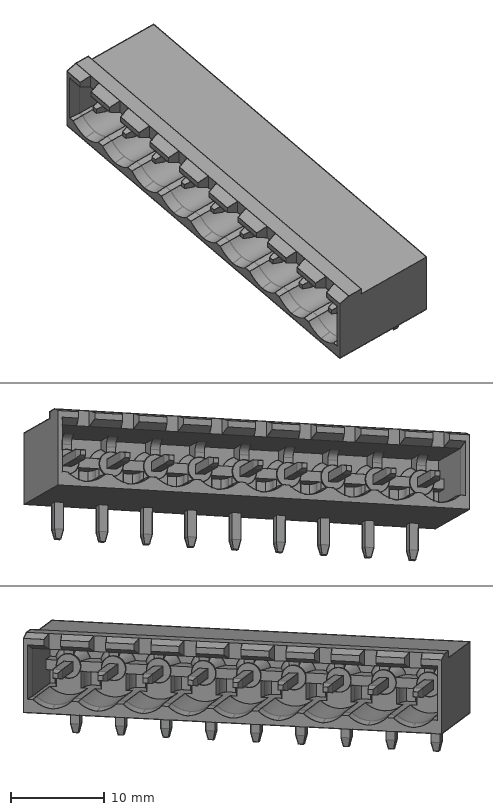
import cadquery as cq
import math

LENGTH = 46.4
DEPTH = 12.0
POLES = 9
END_MARGIN = 3.2
PITCH = (LENGTH - 2 * END_MARGIN) / (POLES - 1)

ROOF_Z = 7.8
RAIL_Z = 8.55
RAIL_DEPTH = 2.95
LEAD_IN = 1.25
FRONT_EDGE_Z = 8.1

WALL_FRONT = 0.45
WALL = 0.65
FLOOR_FRONT_Z = 1.5
FLOOR_Z = 1.6
CEILING_FRONT_Z = 7.42
CEILING_Z = 6.8
CAVITY_DEPTH = 8.8

SCALLOP_R = 3.15
SCALLOP_MOUTH_R = 3.53
SCALLOP_MOUTH_Z = 0.55
SCALLOP_MOUTH_WIDTH = 4.25

SLOT_FRONT = 1.85
SLOT_BACK = 1.4

PIN_Z = 3.95
BOSS_R = 1.35
BOSS_PROJECTION = 0.2
SUPPORT_R = 2.0
SUPPORT_FRONT_Y = 6.95
PILLAR_WAIST = 3.1
BAR_HEIGHT = 1.1
RIB_WIDTH = 1.05
RIB_FILLET = 0.97

PIN = 1.0
PIN_TIP = 0.55
TAPER = 1.0
PIN_FRONT_Y = 1.25
LEG_SETBACK = 1.9
LEG_Y = DEPTH - LEG_SETBACK
LEG_LENGTH = 3.95

EMBED = 0.45
POLE_XS = [(i - (POLES - 1) / 2) * PITCH for i in range(POLES)]


def box(x0, x1, y0, y1, z0, z1):
    """Block between the given limits on each axis."""
    return cq.Workplane("XY").box(x1 - x0, y1 - y0, z1 - z0, centered=False).translate((x0, y0, z0))


def round_body(radius, y0, y1, end_radius=None):
    """Round body about the pole axis from y0 to y1, conical if end_radius differs."""
    end_radius = radius if end_radius is None else end_radius
    profile = cq.Workplane("XY").polyline([(0, y0), (radius, y0), (end_radius, y1), (0, y1)]).close()
    return profile.revolve(360, (0, 0, 0), (0, 1, 0)).translate((0, 0, PIN_Z))


def housing_block():
    """Solid housing with the raised, sloped rail along its front edge."""
    profile = [
        (0, 0),
        (DEPTH, 0),
        (DEPTH, ROOF_Z),
        (RAIL_DEPTH, ROOF_Z),
        (RAIL_DEPTH, RAIL_Z),
        (LEAD_IN, RAIL_Z),
        (0, FRONT_EDGE_Z),
    ]
    return cq.Workplane("YZ").polyline(profile).close().extrude(LENGTH / 2, both=True)


def cavity():
    """Main pocket with a mouth that narrows over the lead-in depth."""
    half = LENGTH / 2 - WALL
    half_front = LENGTH / 2 - WALL_FRONT
    mouth = (
        cq.Workplane("XZ")
        .center(0, (FLOOR_FRONT_Z + CEILING_FRONT_Z) / 2)
        .rect(2 * half_front, CEILING_FRONT_Z - FLOOR_FRONT_Z)
        .workplane(offset=-LEAD_IN)
        .center(0, (FLOOR_Z + CEILING_Z - FLOOR_FRONT_Z - CEILING_FRONT_Z) / 2)
        .rect(2 * half, CEILING_Z - FLOOR_Z)
        .loft(ruled=True)
    )
    return mouth.union(box(-half, half, LEAD_IN, CAVITY_DEPTH, FLOOR_Z, CEILING_Z))


def scallop_outline(sketch, floor_z, half_width, bottom_z, radius):
    """Trough section: an arc on each side of the bottom, closed at the pole axis height."""
    return (
        sketch.moveTo(-half_width, PIN_Z)
        .lineTo(-half_width, floor_z)
        .radiusArc((0, bottom_z), -radius)
        .radiusArc((half_width, floor_z), -radius)
        .lineTo(half_width, PIN_Z)
        .close()
    )


def scallop():
    """Round trough in the cavity floor, up to the supports, whose mouth deepens to a shallow point."""
    half_width = math.sqrt(SCALLOP_R**2 - (PIN_Z - FLOOR_Z) ** 2)
    round_section = (FLOOR_Z, half_width, PIN_Z - SCALLOP_R, SCALLOP_R)
    mouth = scallop_outline(
        cq.Workplane("XZ"), FLOOR_FRONT_Z, SCALLOP_MOUTH_WIDTH / 2, SCALLOP_MOUTH_Z, SCALLOP_MOUTH_R
    )
    mouth = scallop_outline(mouth.workplane(offset=-LEAD_IN), *round_section).loft(ruled=True)
    trough = scallop_outline(cq.Workplane("XZ", origin=(0, LEAD_IN, 0)), *round_section)
    return mouth.union(trough.extrude(LEAD_IN - SUPPORT_FRONT_Y))


def rail_slot():
    """Tapered slot through the rail, from the ceiling upwards."""
    outline = [
        (-SLOT_FRONT / 2, 0),
        (SLOT_FRONT / 2, 0),
        (SLOT_BACK / 2, LEAD_IN),
        (-SLOT_BACK / 2, LEAD_IN),
    ]
    base = cq.Workplane("XY").workplane(offset=CEILING_Z)
    return base.polyline(outline).close().extrude(RAIL_Z - CEILING_Z)


def rib():
    """Rib above the boss that blends into the ceiling with a concave round."""
    blend_z = CEILING_Z - RIB_FILLET
    corner = RIB_FILLET * (1 - math.sqrt(0.5))
    return (
        cq.Workplane("YZ")
        .moveTo(SUPPORT_FRONT_Y, PIN_Z)
        .lineTo(SUPPORT_FRONT_Y, blend_z)
        .threePointArc(
            (SUPPORT_FRONT_Y - corner, CEILING_Z - corner),
            (SUPPORT_FRONT_Y - RIB_FILLET, CEILING_Z),
        )
        .lineTo(SUPPORT_FRONT_Y - RIB_FILLET, CEILING_Z + EMBED)
        .lineTo(CAVITY_DEPTH + EMBED, CEILING_Z + EMBED)
        .lineTo(CAVITY_DEPTH + EMBED, PIN_Z)
        .close()
        .extrude(RIB_WIDTH / 2, both=True)
    )


def pillar():
    """Upright column under the boss: round at the sides, with a drafted flat nose in front."""
    half_waist = PILLAR_WAIST / 2
    waist_y = CAVITY_DEPTH - math.sqrt(SUPPORT_R**2 - half_waist**2)
    section = (
        cq.Workplane("XY")
        .workplane(offset=FLOOR_Z - EMBED)
        .moveTo(-BOSS_R, SUPPORT_FRONT_Y)
        .lineTo(BOSS_R, SUPPORT_FRONT_Y)
        .lineTo(half_waist, waist_y)
        .radiusArc((SUPPORT_R, CAVITY_DEPTH), SUPPORT_R)
        .lineTo(SUPPORT_R, CAVITY_DEPTH + EMBED)
        .lineTo(-SUPPORT_R, CAVITY_DEPTH + EMBED)
        .lineTo(-SUPPORT_R, CAVITY_DEPTH)
        .radiusArc((-half_waist, waist_y), SUPPORT_R)
        .close()
    )
    return section.extrude(PIN_Z - FLOOR_Z + EMBED)


def support():
    """Round boss around the pin, with a half cone and rib above it and a pillar below."""
    above_axis = box(-SUPPORT_R, SUPPORT_R, 0, DEPTH, PIN_Z, RAIL_Z)
    cone = round_body(BOSS_R, SUPPORT_FRONT_Y, CAVITY_DEPTH, SUPPORT_R).intersect(above_axis)
    boss = round_body(BOSS_R, SUPPORT_FRONT_Y - BOSS_PROJECTION, CAVITY_DEPTH + EMBED)
    return cone.union(boss).union(rib()).union(pillar())


def square_prong(length):
    """Square bar along +Z whose last stretch tapers to a smaller square tip."""
    shaft_length = length - TAPER
    shaft = cq.Workplane("XY").rect(PIN, PIN).extrude(shaft_length)
    tip = (
        cq.Workplane("XY")
        .workplane(offset=shaft_length)
        .rect(PIN, PIN)
        .workplane(offset=TAPER)
        .rect(PIN_TIP, PIN_TIP)
        .loft(ruled=True)
    )
    return shaft.union(tip)


def contact():
    """Right-angle pin: a prong towards the mouth and a leg below the housing."""
    corner = (0, LEG_Y, PIN_Z)
    prong = square_prong(LEG_Y - PIN_FRONT_Y).rotate((0, 0, 0), (1, 0, 0), 90).translate(corner)
    leg = square_prong(PIN_Z + LEG_LENGTH).rotate((0, 0, 0), (1, 0, 0), 180).translate(corner)
    return prong.union(leg)


result = housing_block().cut(cavity())
for x in POLE_XS:
    result = result.cut(scallop().translate((x, 0, 0)))
    result = result.cut(rail_slot().translate((x, 0, 0)))

bar_end = LENGTH / 2 - WALL_FRONT
bar_z = PIN_Z - BAR_HEIGHT / 2
result = result.union(
    box(-bar_end, bar_end, SUPPORT_FRONT_Y, CAVITY_DEPTH + EMBED, bar_z, bar_z + BAR_HEIGHT)
)

for x in POLE_XS:
    result = result.union(support().translate((x, 0, 0)))
    result = result.union(contact().translate((x, 0, 0)))